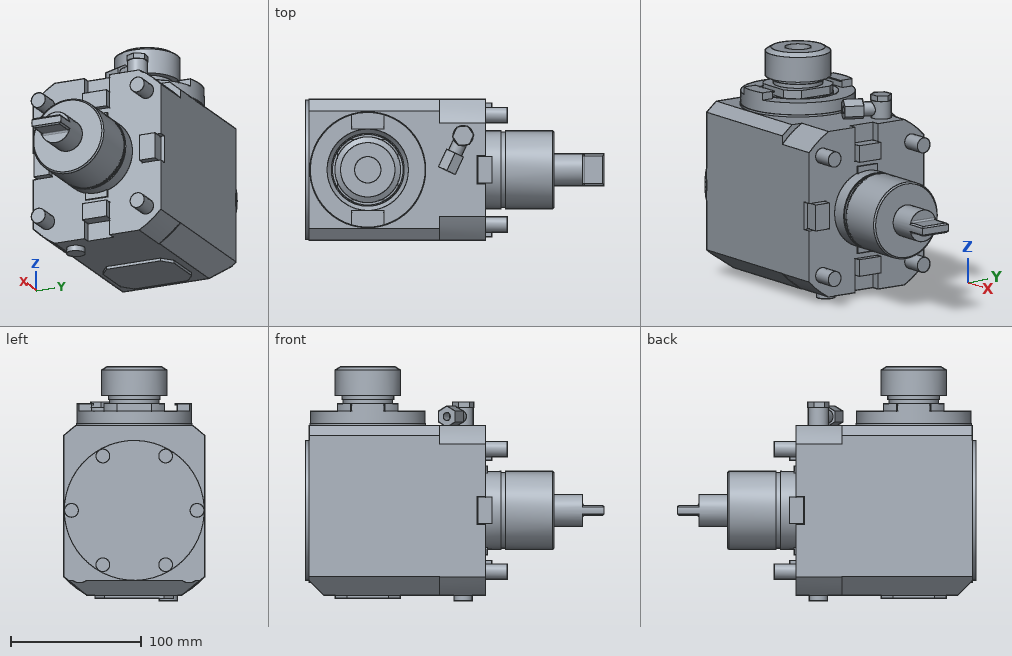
import cadquery as cq
import math


OVERALL_LENGTH = 229.0

BODY_LENGTH = 135.1
BODY_WIDTH = 108.0
BODY_TOP = 65.0
TOP_CHAMFER_Y, TOP_CHAMFER_Z = 9.2, 7.5
BOTTOM_CHAMFER_Y, BOTTOM_CHAMFER_Z = 17.6, 14.5
FRONT_CHAMFER = 11.2
ROUNDED_LENGTH = 35.3
ROUNDED_RADIUS = 74.2

COVER_RADIUS = 53.5
COVER_THICK = 3.0
COVER_SCREW_CIRCLE = 48.0
COVER_SCREW_RADIUS = 5.3
COVER_SCREW_RECESS = 0.11
COVER_SCREW_COUNT = 6

SHANK_RADIUS = 30.0
SHANK_END = 52.5
SHANK_CHAMFER = 1.1
GROOVE_START, GROOVE_END = 12.0, 15.1
GROOVE_DEPTH = 1.0
SHAFT_RADIUS = 12.4
SHAFT_END = 74.5
TANG_END = OVERALL_LENGTH - BODY_LENGTH - COVER_THICK
TANG_THICK = 7.5
TANG_ROOT_FILLET = 1.4
TANG_CHAMFER = 1.1

STUD_Y, STUD_Z = 42.0, 47.0
STUD_RADIUS = 6.0
STUD_LENGTH = 16.7
PLUG_RADIUS = 8.5
PLUG_LENGTH = 4.5

KEY_WIDTH = 20.4
KEY_INNER, KEY_OUTER = 38.3, 51.3
KEY_SLOT_DEPTH = 6.5
KEY_GAP = 0.7
KEY_HEIGHT = 4.8
KEY_SLOT_WIDTH = 21.5
PAD_OUTER = 34.1
PAD_WIDTH = 18.3
PAD_HEIGHT = 1.4

HEAD_X = -90.2
SEAT_RADIUS = 44.5
SEAT_THICK = 1.5
FLANGE_RADIUS = 44.0
FLANGE_TOP = 76.0
RECESS_RADIUS = 31.2
RECESS_FLOOR_RADIUS = 28.0
RECESS_DEPTH = 4.4
NUT_WIDTH = 46.5
NUT_CORNER_RADIUS = 26.8
NUT_BASE, NUT_TOP = 75.4, 81.8
NUT_COLLAR_RADIUS = 27.0
NECK_RADIUS = 19.0
COLLAR_RADIUS = 20.0
COLLAR_BASE = 85.0
KNOB_RADIUS = 25.2
KNOB_BASE = 88.0
KNOB_TOP = 110.2
KNOB_CHAMFER_R, KNOB_CHAMFER_Z = 4.4, 2.7
KNOB_HOLE_RADIUS = 10.0
KNOB_HOLE_DEPTH = 12.4
LUG_WIDTH = 24.7
LUG_INNER = 32.8
LUG_LIP = 1.5
LUG_LIP_THICK = 1.0

COOLANT_X, COOLANT_Y = -17.2, 26.0
POST_RADIUS = 7.8
POST_CAP_BASE, POST_CAP_TOP = 78.8, 83.1
HEX_SIDES = 6
HEX_ACROSS = 14.2
ARM_ANGLE = 245
ARM_RADIUS = 5.5
ARM_Z = 72.0
ARM_NUT_START, ARM_NUT_END = 14.7, 29.5
ARM_HOLE_RADIUS = 3.0
ARM_HOLE_DEPTH = 11.5
BOTTOM_PLUG_RADIUS = 7.0
BOTTOM_PLUG_HEIGHT = 4.4

PLATE_LENGTH, PLATE_WIDTH = 50.0, 60.2
PLATE_CORNER_X, PLATE_CORNER_Y = 9.2, 7.3
PLATE_THICK = 2.3


def rod(radius, x_start, x_end, y=0, z=0):
    """Cylinder along X."""
    return cq.Workplane("YZ", origin=(x_start, y, z)).circle(radius).extrude(x_end - x_start)


def post(radius, z_start, z_end, x, y=0):
    """Cylinder along Z."""
    return cq.Workplane("XY", origin=(x, y, z_start)).circle(radius).extrude(z_end - z_start)


def box(x_range, y_range, z_range):
    """Block between the given limits along each axis."""
    size = [high - low for low, high in (x_range, y_range, z_range)]
    corner = (x_range[0], y_range[0], z_range[0])
    return cq.Workplane("XY").box(*size, centered=False).translate(corner)


def make_body():
    half = BODY_WIDTH / 2
    right_side = [
        (half - BOTTOM_CHAMFER_Y, -BODY_TOP),
        (half, -BODY_TOP + BOTTOM_CHAMFER_Z),
        (half, BODY_TOP - TOP_CHAMFER_Z),
        (half - TOP_CHAMFER_Y, BODY_TOP),
    ]
    left_side = [(-y, z) for y, z in reversed(right_side)]
    chamfered = (
        cq.Workplane("YZ", origin=(-BODY_LENGTH, 0, 0))
        .polyline(right_side + left_side)
        .close()
        .extrude(BODY_LENGTH - ROUNDED_LENGTH)
        .faces("<X")
        .edges("<Z")
        .chamfer(FRONT_CHAMFER)
    )
    rounded = box((-ROUNDED_LENGTH, 0), (-half, half), (-BODY_TOP, BODY_TOP)).intersect(
        rod(ROUNDED_RADIUS, -ROUNDED_LENGTH, 0)
    )
    return chamfered.union(rounded)


def make_cover():
    outer_x = -BODY_LENGTH - COVER_THICK
    cover = rod(COVER_RADIUS, outer_x, -BODY_LENGTH)
    screw_heads = (
        cq.Workplane("YZ", origin=(outer_x, 0, 0))
        .polarArray(COVER_SCREW_CIRCLE, 0, 360, COVER_SCREW_COUNT)
        .circle(COVER_SCREW_RADIUS)
        .extrude(COVER_SCREW_RECESS)
    )
    return cover.cut(screw_heads)


def make_shank():
    shank = rod(SHANK_RADIUS, 0, SHANK_END).faces(">X").chamfer(SHANK_CHAMFER)
    groove = rod(SHANK_RADIUS, GROOVE_START, GROOVE_END).cut(
        rod(SHANK_RADIUS - GROOVE_DEPTH, GROOVE_START, GROOVE_END)
    )
    return shank.cut(groove).union(make_drive_shaft())


def make_drive_shaft():
    half_tang = TANG_THICK / 2
    shaft = rod(SHAFT_RADIUS, SHANK_END, TANG_END)
    flat = box((SHAFT_END, TANG_END), (-SHAFT_RADIUS, SHAFT_RADIUS), (half_tang, SHAFT_RADIUS))
    shaft = shaft.cut(flat).cut(flat.mirror("XY"))
    shaft = shaft.faces("|Z").edges("|X or >X").chamfer(TANG_CHAMFER)
    root = (
        cq.Workplane("XZ", origin=(SHAFT_END, 0, half_tang))
        .lineTo(0, TANG_ROOT_FILLET)
        .radiusArc((TANG_ROOT_FILLET, 0), -TANG_ROOT_FILLET)
        .close()
        .extrude(SHAFT_RADIUS, both=True)
        .intersect(rod(SHAFT_RADIUS, SHAFT_END, TANG_END))
    )
    return shaft.union(root).union(root.mirror("XY"))


def make_studs():
    studs = cq.Workplane("XY")
    for y in (-STUD_Y, STUD_Y):
        for z in (-STUD_Z, STUD_Z):
            studs = studs.union(rod(STUD_RADIUS, -PLUG_LENGTH, STUD_LENGTH, y, z))
            studs = studs.union(rod(PLUG_RADIUS, -BODY_LENGTH, PLUG_LENGTH - BODY_LENGTH, y, z))
    return studs


def add_keys(part):
    half_key = KEY_WIDTH / 2
    half_slot = KEY_SLOT_WIDTH / 2
    slot = box((-KEY_SLOT_DEPTH, 0), (-half_slot, half_slot), (KEY_INNER, BODY_TOP))
    key = box((KEY_GAP - KEY_SLOT_DEPTH, KEY_HEIGHT), (-half_key, half_key), (KEY_INNER, KEY_OUTER))
    for angle in (0, 90, 180, 270):
        part = part.cut(slot.rotate((0, 0, 0), (1, 0, 0), angle))
        part = part.union(key.rotate((0, 0, 0), (1, 0, 0), angle))
    pads = box((0, PAD_HEIGHT), (-PAD_WIDTH / 2, PAD_WIDTH / 2), (-PAD_OUTER, PAD_OUTER))
    return part.union(pads)


def make_lug():
    half = LUG_WIDTH / 2
    x_range = (HEAD_X - half, HEAD_X + half)
    block = box(x_range, (LUG_INNER, FLANGE_RADIUS), (FLANGE_TOP, NUT_TOP))
    lip = box(x_range, (LUG_INNER - LUG_LIP, LUG_INNER), (NUT_TOP - LUG_LIP_THICK, NUT_TOP))
    return block.union(lip).intersect(post(FLANGE_RADIUS, FLANGE_TOP, NUT_TOP, HEAD_X))


def make_head():
    seat_top = BODY_TOP + SEAT_THICK
    recess = (
        cq.Workplane("XY", origin=(HEAD_X, 0, FLANGE_TOP))
        .circle(RECESS_RADIUS)
        .workplane(offset=-RECESS_DEPTH)
        .circle(RECESS_FLOOR_RADIUS)
        .loft(ruled=True)
    )
    head = (
        post(SEAT_RADIUS, BODY_TOP, seat_top, HEAD_X)
        .union(post(FLANGE_RADIUS, seat_top, FLANGE_TOP, HEAD_X))
        .cut(recess)
    )
    nut = (
        cq.Workplane("XY", origin=(HEAD_X, 0, NUT_BASE))
        .rect(NUT_WIDTH, NUT_WIDTH)
        .extrude(NUT_TOP - NUT_BASE)
        .intersect(post(NUT_CORNER_RADIUS, NUT_BASE, NUT_TOP, HEAD_X))
    )
    knob = (
        post(KNOB_RADIUS, KNOB_BASE, KNOB_TOP, HEAD_X)
        .edges(">Z")
        .chamfer(KNOB_CHAMFER_Z, KNOB_CHAMFER_R)
        .cut(post(KNOB_HOLE_RADIUS, KNOB_TOP - KNOB_HOLE_DEPTH, KNOB_TOP, HEAD_X))
    )
    lug = make_lug()
    return (
        head.union(post(NUT_COLLAR_RADIUS, FLANGE_TOP - RECESS_DEPTH, NUT_BASE, HEAD_X))
        .union(nut)
        .union(post(NECK_RADIUS, NUT_TOP, COLLAR_BASE, HEAD_X))
        .union(post(COLLAR_RADIUS, COLLAR_BASE, KNOB_BASE, HEAD_X))
        .union(knob)
        .union(lug)
        .union(lug.mirror("XZ"))
    )


def make_coolant_elbow():
    corner_diameter = HEX_ACROSS / math.cos(math.pi / HEX_SIDES)
    cap = (
        cq.Workplane("XY", origin=(0, 0, POST_CAP_BASE))
        .polygon(HEX_SIDES, corner_diameter)
        .extrude(POST_CAP_TOP - POST_CAP_BASE)
    )
    nut = (
        cq.Workplane("YZ", origin=(ARM_NUT_START, 0, ARM_Z))
        .transformed(rotate=(0, 0, 90))
        .polygon(HEX_SIDES, corner_diameter)
        .extrude(ARM_NUT_END - ARM_NUT_START)
    )
    elbow = (
        post(POST_RADIUS, BODY_TOP, POST_CAP_BASE, 0)
        .union(cap)
        .union(rod(ARM_RADIUS, 0, ARM_NUT_START, z=ARM_Z))
        .union(nut)
        .cut(rod(ARM_HOLE_RADIUS, ARM_NUT_END - ARM_HOLE_DEPTH, ARM_NUT_END, z=ARM_Z))
    )
    return elbow.rotate((0, 0, 0), (0, 0, 1), ARM_ANGLE).translate((COOLANT_X, COOLANT_Y, 0))


def make_bottom_plate():
    half_x, half_y = PLATE_LENGTH / 2, PLATE_WIDTH / 2
    inner_x, inner_y = half_x - PLATE_CORNER_X, half_y - PLATE_CORNER_Y
    outline = [
        (half_x, -inner_y), (half_x, inner_y), (inner_x, half_y), (-inner_x, half_y),
        (-half_x, inner_y), (-half_x, -inner_y), (-inner_x, -half_y), (inner_x, -half_y),
    ]
    plate_base = (HEAD_X, 0, -BODY_TOP - PLATE_THICK)
    return cq.Workplane("XY", origin=plate_base).polyline(outline).close().extrude(PLATE_THICK)


result = make_body().union(make_cover()).union(make_shank()).union(make_studs())
result = add_keys(result)
result = result.union(make_head()).union(make_coolant_elbow()).union(make_bottom_plate())
result = result.union(
    post(BOTTOM_PLUG_RADIUS, -BODY_TOP - BOTTOM_PLUG_HEIGHT, -BODY_TOP, COOLANT_X, -COOLANT_Y)
)